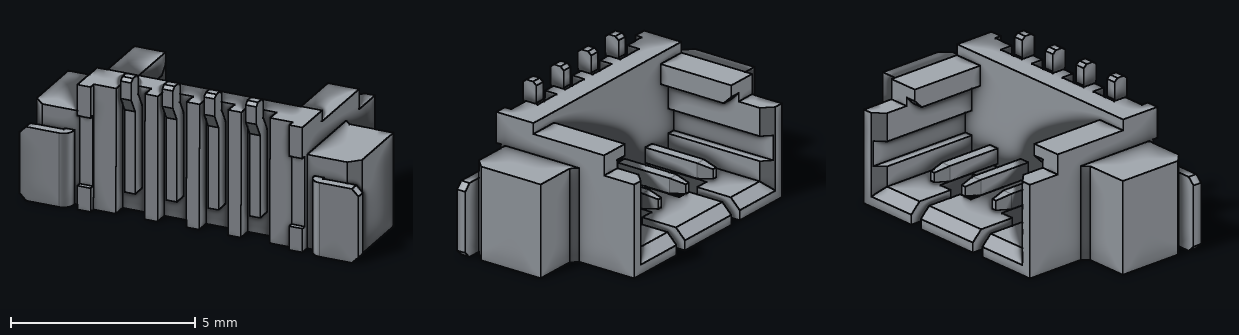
import cadquery as cq


contact_count = 4
pitch = 1.25
contact_width = 0.31
contact_thickness = 0.46
contact_top = 4.2
contact_bottom = 0.71
tail_chamfer_y = 0.11
tail_chamfer_z = 0.09
tail_bottom = 3.59
leg_offset = 0.25
leg_top = 3.16
pin_tip_y = 3.58
pin_taper_length = 0.49
pin_tip_width = 0.14

body_half_width = 3.37
body_back = 4.75
body_top = 3.71
front_bottom_y = 0.27
front_top_y = 0.3
front_wall_back = 1.35
wall = 0.61
side_wall_top = 2.79
cavity_half_width = body_half_width - wall
mouth_chamfer = 0.3

groove_width = 0.86
groove_back = leg_offset + contact_thickness

lug_width = 0.4
lug_front = 0.09
lug_recess_front = 0.24

rib_back = 3.74
rib_top = 3.39
rib_inner_x = 2.43
rib_chamfer = 0.25

latch_depth = 0.26
latch_bottom = 1.21
latch_top = 1.95

window_front = 2.14
window_back = 3.31
window_width = pitch
slot_width = 0.39

wing_outer_x = 4.87
wing_front = 0.4
wing_back = 2.71
wing_chamfer = 0.3
gusset = 0.18

nail_outer_x = 5.08
nail_inner_x = 3.59
nail_front = 0.03
nail_thickness = 0.28
nail_bend_radius = 0.3
nail_height = 2.2
nail_chamfer = 0.19

contact_positions = [(i - (contact_count - 1) / 2) * pitch for i in range(contact_count)]


def box(x_range, y_range, z_range):
    """Axis-aligned box between two corners."""
    x0, x1 = x_range
    y0, y1 = y_range
    z0, z1 = z_range
    return cq.Workplane("XY").box(x1 - x0, y1 - y0, z1 - z0, centered=False).translate((x0, y0, z0))


def centred_box(x, width, y_range, z_range):
    """Box centred on a given X."""
    return box((x - width / 2, x + width / 2), y_range, z_range)


def both_sides(right_half):
    """The right-hand feature together with its mirror image."""
    return right_half.union(right_half.mirror("YZ"))


def shell():
    """Leaning front wall, side walls and floor around the mating cavity."""
    front_wall = (
        cq.Workplane("YZ")
        .moveTo(front_bottom_y, 0)
        .lineTo(front_wall_back, 0)
        .lineTo(front_wall_back, body_top)
        .lineTo(front_top_y, body_top)
        .close()
        .extrude(body_half_width, both=True)
    )
    tray = centred_box(0, 2 * body_half_width, (front_wall_back, body_back), (0, side_wall_top))
    cavity = centred_box(0, 2 * cavity_half_width, (front_wall_back, body_back), (wall, side_wall_top))
    return tray.cut(cavity).cut(mouth_flare()).union(front_wall)


def mouth_flare():
    """Chamfered mating mouth, widening at the sides and floor; centred on the open top of the cavity."""
    cavity_height = side_wall_top - wall
    return (
        cq.Workplane("XZ", origin=(0, body_back - mouth_chamfer, side_wall_top))
        .rect(2 * cavity_half_width, 2 * cavity_height)
        .workplane(offset=-mouth_chamfer)
        .rect(2 * (cavity_half_width + mouth_chamfer), 2 * (cavity_height + mouth_chamfer))
        .loft(ruled=True)
    )


def lugs():
    """Front corner lugs, set back between their upper and lower pads."""
    x_range = (body_half_width - lug_width, body_half_width)
    lug = box(x_range, (lug_recess_front, front_wall_back), (0, body_top))
    for pad_z in ((0, contact_bottom), (side_wall_top, body_top)):
        lug = lug.union(box(x_range, (lug_front, front_wall_back), pad_z))
    return both_sides(lug)


def ribs():
    """Ribs on top of the side walls, overhanging the cavity with a chamfered lower back edge."""
    y_range = (front_wall_back, rib_back)
    z_range = (side_wall_top, rib_top)
    seat = box((cavity_half_width, body_half_width), y_range, z_range)
    overhang = box((rib_inner_x, cavity_half_width), y_range, z_range)
    overhang = overhang.edges("|X and >Y and <Z").chamfer(rib_chamfer)
    return both_sides(seat.union(overhang))


def wings():
    """Side blocks with a chamfered front corner and a small rear gusset."""
    wing = (
        cq.Workplane("XY")
        .moveTo(body_half_width, wing_front)
        .lineTo(wing_outer_x - wing_chamfer, wing_front)
        .lineTo(wing_outer_x, wing_front + wing_chamfer)
        .lineTo(wing_outer_x, wing_back)
        .lineTo(body_half_width + gusset, wing_back)
        .lineTo(body_half_width, wing_back + gusset)
        .close()
        .extrude(side_wall_top)
    )
    return both_sides(wing)


def latch_grooves():
    """Grooves along the inner faces of the side walls."""
    groove = box(
        (cavity_half_width, cavity_half_width + latch_depth),
        (front_wall_back, body_back),
        (latch_bottom, latch_top),
    )
    return both_sides(groove)


def floor_opening(x):
    """Floor window that narrows to a slot through the mating edge."""
    window = centred_box(x, window_width, (window_front, window_back), (0, wall))
    slot = centred_box(x, slot_width, (window_back, body_back), (0, wall))
    return window.union(slot)


def contact(x):
    """Bent contact: solder tail on top, leg in the groove and tapered mating pin."""
    pin_top = contact_bottom + contact_thickness
    pin_shoulder = pin_tip_y - pin_taper_length
    strip = (
        cq.Workplane("YZ")
        .moveTo(0, tail_bottom)
        .lineTo(0, contact_top - tail_chamfer_z)
        .lineTo(tail_chamfer_y, contact_top)
        .lineTo(contact_thickness - tail_chamfer_y, contact_top)
        .lineTo(contact_thickness, contact_top - tail_chamfer_z)
        .lineTo(contact_thickness, tail_bottom)
        .lineTo(groove_back, leg_top)
        .lineTo(groove_back, pin_top)
        .lineTo(pin_shoulder, pin_top)
        .lineTo(pin_shoulder, contact_bottom)
        .lineTo(leg_offset, contact_bottom)
        .lineTo(leg_offset, leg_top)
        .close()
        .extrude(contact_width / 2, both=True)
    )
    tip_height = contact_thickness - (contact_width - pin_tip_width)
    tip = (
        cq.Workplane("XZ", origin=(0, pin_shoulder, (contact_bottom + pin_top) / 2))
        .rect(contact_width, contact_thickness)
        .workplane(offset=-pin_taper_length)
        .rect(pin_tip_width, tip_height)
        .loft(ruled=True)
    )
    return strip.union(tip).translate((x, 0, 0))


def nails():
    """Solder nails: flat chamfered plates bent round into the wings."""
    plate_back = nail_front + nail_thickness
    nail = (
        cq.Workplane("XY")
        .moveTo(nail_outer_x, nail_front)
        .lineTo(nail_inner_x + nail_bend_radius, nail_front)
        .radiusArc((nail_inner_x, nail_front + nail_bend_radius), nail_bend_radius)
        .lineTo(nail_inner_x, wing_front)
        .lineTo(nail_inner_x + nail_thickness, wing_front)
        .lineTo(nail_inner_x + nail_thickness, plate_back)
        .lineTo(nail_outer_x, plate_back)
        .close()
        .extrude(nail_height)
        .edges("|Y and >X")
        .chamfer(nail_chamfer)
    )
    return both_sides(nail)


result = shell().union(lugs()).union(ribs()).union(wings())
result = result.cut(latch_grooves())
for contact_x in contact_positions:
    result = result.cut(centred_box(contact_x, groove_width, (0, groove_back), (0, body_top)))
for side in (-1, 1):
    result = result.cut(floor_opening(side * pitch))

for contact_x in contact_positions:
    result = result.union(contact(contact_x))
result = result.union(nails())